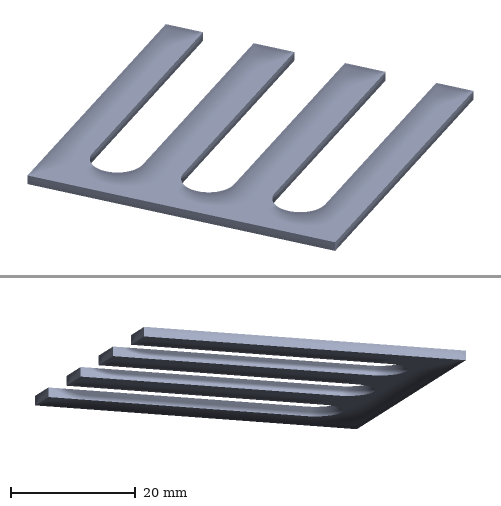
import cadquery as cq

width = 54.0
length = 54.5
thickness = 1.6

slot_count = 3
slot_width = 8.9
slot_pitch = 16.0
web_depth = 6.4

slot_radius = slot_width / 2
arc_center_y = -length / 2 + web_depth + slot_radius
straight_length = length / 2 - arc_center_y


def slot_cutter(x):
    """Full-thickness slot centred on x, with a semicircular closed end."""
    return (
        cq.Workplane("XY")
        .moveTo(x - slot_radius, arc_center_y)
        .threePointArc((x, arc_center_y - slot_radius), (x + slot_radius, arc_center_y))
        .vLine(straight_length)
        .hLine(-slot_width)
        .close()
        .extrude(thickness)
    )


result = cq.Workplane("XY").box(width, length, thickness, centered=(True, True, False))
for index in range(slot_count):
    slot_x = (index - (slot_count - 1) / 2) * slot_pitch
    result = result.cut(slot_cutter(slot_x))